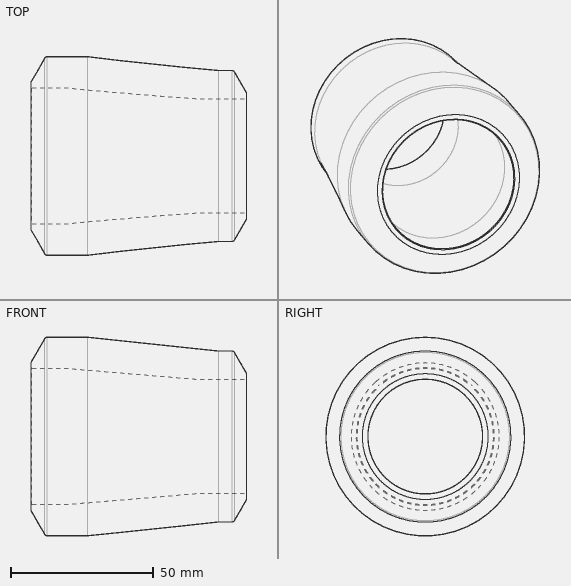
import cadquery as cq
import math

length = 76.0
large_od = 70.0
large_bore = 48.0
small_od = 60.3
small_bore = 40.3
large_straight = 20.0
small_straight = 10.0
large_bore_straight = 12.0
small_bore_straight = 18.0
root_face = 2.0
bevel_angle = math.radians(30)
edge_round = 1.0
bore_chamfer = 0.3

large_radius = large_od / 2
large_bore_radius = large_bore / 2
small_radius = small_od / 2
small_bore_radius = small_bore / 2


def bevel_length(outer_radius, bore_radius):
    """Axial length of the weld bevel at one end."""
    return (outer_radius - bore_radius - root_face) * math.tan(bevel_angle)


def round_ends(outer_radius, bore_radius):
    """Tangent points of the edge round, as (distance from the end plane, radius).

    The first point lies on the bevel and the second on the outside cylinder.
    """
    corner = bevel_length(outer_radius, bore_radius)
    turn = math.pi / 2 - bevel_angle
    tangent_length = edge_round * math.tan(turn / 2)
    on_bevel = (
        corner - tangent_length * math.cos(turn),
        outer_radius - tangent_length * math.sin(turn),
    )
    on_cylinder = (corner + tangent_length, outer_radius)
    return on_bevel, on_cylinder


def from_small_end(point):
    """Turn a distance from the small end plane into an X position."""
    distance, radius = point
    return (length - distance, radius)


def wall_section():
    """Closed half section of the wall, with X along the axis and the radius upward."""
    large_on_bevel, large_on_cylinder = round_ends(large_radius, large_bore_radius)
    small_on_bevel, small_on_cylinder = round_ends(small_radius, small_bore_radius)
    return (
        cq.Workplane("XZ")
        .moveTo(0, large_bore_radius + bore_chamfer)
        .lineTo(0, large_bore_radius + root_face)
        .lineTo(*large_on_bevel)
        .tangentArcPoint(large_on_cylinder, relative=False)
        .lineTo(large_straight, large_radius)
        .lineTo(length - small_straight, small_radius)
        .lineTo(*from_small_end(small_on_cylinder))
        .tangentArcPoint(from_small_end(small_on_bevel), relative=False)
        .lineTo(length, small_bore_radius + root_face)
        .lineTo(length, small_bore_radius)
        .lineTo(length - small_bore_straight, small_bore_radius)
        .lineTo(large_bore_straight, large_bore_radius)
        .lineTo(bore_chamfer, large_bore_radius)
        .close()
    )


result = wall_section().revolve(360, (0, 0, 0), (1, 0, 0))